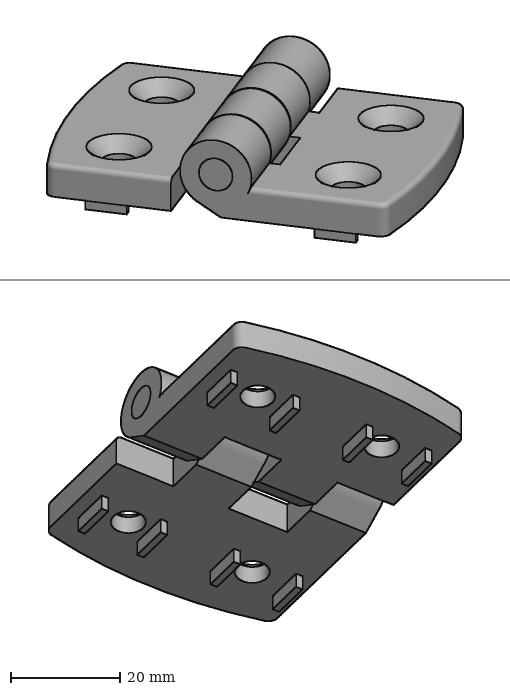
import cadquery as cq
import math

LENGTH = 71.2
WIDTH = 49.6

LEAF_WIDTH = 49.4
PLATE_THICKNESS = 6.5
END_BULGE = 3.2
CORNER_RADIUS = 2.0
TOP_EDGE_RADIUS = 1.0
LEAF_SHIFT = (WIDTH - LEAF_WIDTH) / 2

BARREL_RADIUS = 6.85
AXIS_HEIGHT = 8.5
PIN_RADIUS = 3.2
FLANK_ANGLE = math.radians(30)

FIRST_LEAF_STEPS = (-12.4, -0.15, 12.2)
SECOND_LEAF_STEPS = (-12.2, -0.15, 12.6)
SLOT_REACH = 8.6

HOLE_X = 21.9
HOLE_PITCH = 27.0
HOLE_DIAMETER = 6.4
SINK_DIAMETER = 11.95
SINK_ANGLE = 90

TAB_LENGTH = 7.9
TAB_WIDTH = 1.4
TAB_HEIGHT = 3.05
TAB_PLACES = [-21.0, -8.2, 7.75, 21.3]

TANGENT_X = BARREL_RADIUS * math.sin(FLANK_ANGLE)
TANGENT_Z = AXIS_HEIGHT - BARREL_RADIUS * math.cos(FLANK_ANGLE)
FOOT_X = TANGENT_X - TANGENT_Z / math.tan(FLANK_ANGLE)


def cylinder_along_y(radius, low, high):
    """Cylinder on the pin axis between two Y positions."""
    return (
        cq.Workplane("XZ", origin=(0, high, AXIS_HEIGHT))
        .circle(radius)
        .extrude(high - low)
    )


def make_plate():
    """Plate of the -X leaf: bowed outer end, rounded corners and rounded top rim."""
    corner_x = -LENGTH / 2 + END_BULGE
    low = LEAF_SHIFT - LEAF_WIDTH / 2
    high = LEAF_SHIFT + LEAF_WIDTH / 2
    plate = (
        cq.Workplane("XY")
        .moveTo(FOOT_X, low)
        .lineTo(corner_x, low)
        .threePointArc((-LENGTH / 2, LEAF_SHIFT), (corner_x, high))
        .lineTo(FOOT_X, high)
        .close()
        .extrude(PLATE_THICKNESS)
    )
    plate = plate.edges("|Z").edges("<X").fillet(CORNER_RADIUS)
    return plate.faces(">Z").edges("not >X").fillet(TOP_EDGE_RADIUS)


def make_knuckle(low, high):
    """Barrel section with the web that joins it to the plate."""
    web = (
        cq.Workplane("XZ", origin=(0, high, 0))
        .polyline([
            (FOOT_X, 0),
            (TANGENT_X, TANGENT_Z),
            (0, AXIS_HEIGHT),
            (FOOT_X, AXIS_HEIGHT),
        ])
        .close()
        .extrude(high - low)
    )
    return cylinder_along_y(BARREL_RADIUS, low, high).union(web)


def make_tabs():
    """Locating tabs below the plate."""
    return (
        cq.Workplane("XY")
        .pushPoints([(-HOLE_X, y) for y in TAB_PLACES])
        .rect(TAB_LENGTH, TAB_WIDTH)
        .extrude(-TAB_HEIGHT)
    )


def cut_screw_holes(leaf):
    """Countersunk through holes, opening at the top of the plate."""
    hole_places = [
        (-HOLE_X, LEAF_SHIFT + side * HOLE_PITCH / 2) for side in (-1, 1)
    ]
    return (
        leaf.copyWorkplane(cq.Workplane("XY", origin=(0, 0, PLATE_THICKNESS)))
        .pushPoints(hole_places)
        .cskHole(HOLE_DIAMETER, SINK_DIAMETER, SINK_ANGLE)
    )


def make_leaf(steps):
    """Complete leaf on the -X side: from -Y to +Y a slot, a knuckle, a slot and a knuckle."""
    low_step, middle_step, high_step = steps
    slots = [(-WIDTH / 2, low_step), (middle_step, high_step)]
    knuckles = [(low_step, middle_step), (high_step, WIDTH / 2)]

    leaf = make_plate()
    for low, high in slots:
        slot = cq.Workplane("XY", origin=(-SLOT_REACH, low, 0)).box(
            SLOT_REACH, high - low, PLATE_THICKNESS, centered=False
        )
        leaf = leaf.cut(slot)
    for low, high in knuckles:
        leaf = leaf.union(make_knuckle(low, high))
    leaf = leaf.cut(make_pin())
    leaf = leaf.union(make_tabs())
    return cut_screw_holes(leaf)


def make_pin():
    """Hinge pin, flush with both ends of the barrel."""
    return cylinder_along_y(PIN_RADIUS, -WIDTH / 2, WIDTH / 2)


first_leaf = make_leaf(FIRST_LEAF_STEPS)
second_leaf = make_leaf(SECOND_LEAF_STEPS).rotate((0, 0, 0), (0, 0, 1), 180)
pin = make_pin()

result = cq.Compound.makeCompound([first_leaf.val(), second_leaf.val(), pin.val()])